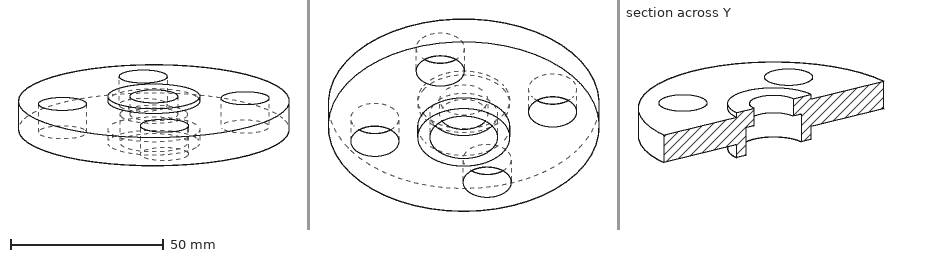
import cadquery as cq

flange_diameter = 88.9
flange_thickness = 9.65

hub_diameter = 30.2
raised_face_height = 1.6
overall_height = 15.75
hub_height = overall_height - flange_thickness - raised_face_height

bore_diameter = 15.8
socket_diameter = 22.2
socket_depth = 9.65

bolt_hole_count = 4
bolt_hole_diameter = 15.8
bolt_circle_diameter = 60.3
first_bolt_angle = 45
full_turn = 360

hub_bottom = 0
plate_bottom = hub_bottom + hub_height


def cylinder(diameter, bottom, height):
    """Upright cylinder centred on the Z axis."""
    return cq.Workplane("XY").workplane(offset=bottom).circle(diameter / 2).extrude(height)


def flange_body():
    """Plate with the hub and raised face as one cylinder running through it."""
    plate = cylinder(flange_diameter, plate_bottom, flange_thickness)
    hub_and_face = cylinder(hub_diameter, hub_bottom, overall_height)
    return plate.union(hub_and_face)


def central_passage():
    """Bore through the full height, widened by the socket at the lower end."""
    bore = cylinder(bore_diameter, hub_bottom, overall_height)
    socket = cylinder(socket_diameter, hub_bottom, socket_depth)
    return bore.union(socket)


def bolt_holes():
    """Evenly spaced cylinders through the plate on the bolt circle."""
    return (
        cq.Workplane("XY")
        .workplane(offset=plate_bottom)
        .polarArray(bolt_circle_diameter / 2, first_bolt_angle, full_turn, bolt_hole_count)
        .circle(bolt_hole_diameter / 2)
        .extrude(flange_thickness)
    )


result = flange_body().cut(central_passage()).cut(bolt_holes())